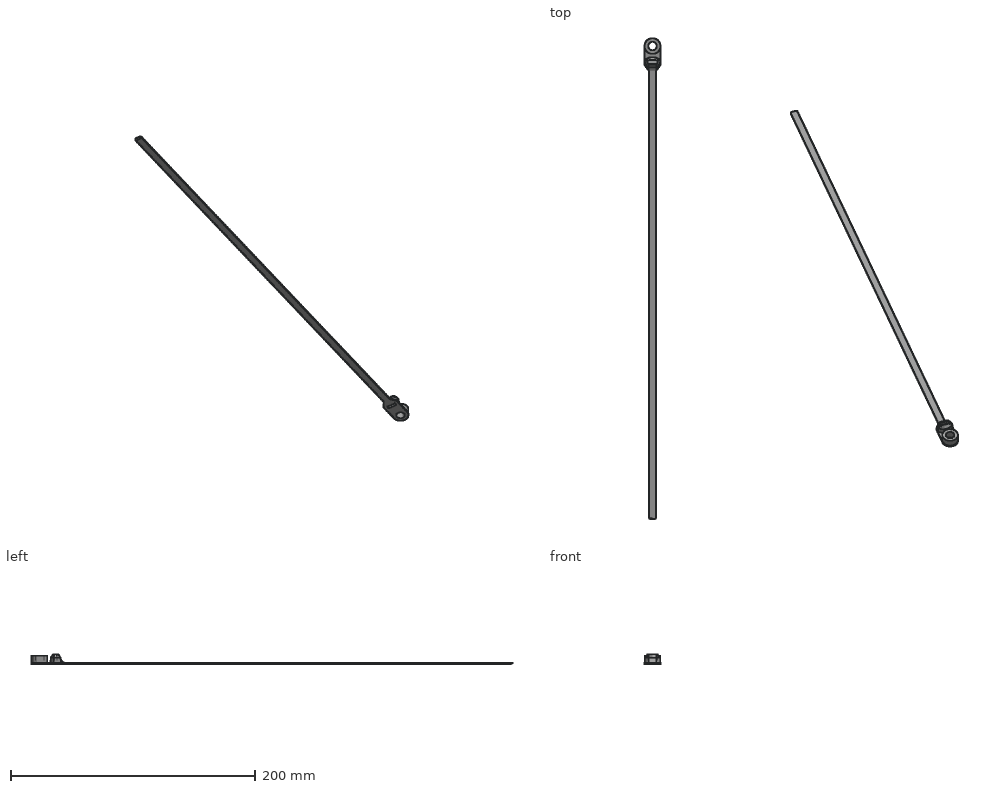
import math

import cadquery as cq

total_length = 394.28
body_width = 13.21
head_height = 8.13

strap_width = 5.9
strap_thickness = 1.2
tip_corner_radius = 1.6
tip_bevel_length = 1.4
tip_bevel_height = 0.8

ring_diameter = 13.0
ring_height = 7.0
ring_hole_diameter = 6.83

back_y = ring_diameter / 2
tip_y = back_y - total_length

slot_y = back_y - 19.6
slot_width = 7.4
slot_length = 2.2

head_foot = {"z": 0, "back": 4.2, "corner": 1.6, "front": -4.8, "corner_x": 6.3}
head_shoulder = {"z": 5.1, "back": 3.9, "corner": 1.3, "front": -4.3, "corner_x": 6.2}
head_top = {"z": head_height, "back": 1.9, "corner": 1.2, "front": -2.4, "corner_x": 4.1}
flank_bulge_ratio = 0.16

neck_shoulder_y = back_y - 22.0
neck_end_y = back_y - 27.0
neck_fillet_radius = 3.7


def make_base():
    """Flat web under the ring and head: round at the back, narrowing into the strap."""
    half_width = body_width / 2
    half_neck = strap_width / 2
    return (
        cq.Workplane("XY")
        .moveTo(-half_width, 0)
        .threePointArc((0, back_y), (half_width, 0))
        .lineTo(half_width, neck_shoulder_y)
        .lineTo(half_neck, neck_end_y)
        .lineTo(-half_neck, neck_end_y)
        .lineTo(-half_width, neck_shoulder_y)
        .close()
        .extrude(strap_thickness)
    )


def make_ring():
    return cq.Workplane("XY").circle(ring_diameter / 2).extrude(ring_height)


def make_strap():
    """Long strap with rounded tip corners and a bevel under the tip."""
    strap_length = slot_y - tip_y
    strap = (
        cq.Workplane("XY", origin=(0, tip_y + strap_length / 2, 0))
        .rect(strap_width, strap_length)
        .extrude(strap_thickness)
        .edges("|Z and <Y").fillet(tip_corner_radius)
    )
    bevel = (
        cq.Workplane("YZ")
        .polyline([(tip_y, 0), (tip_y + tip_bevel_length, 0), (tip_y, tip_bevel_height)])
        .close()
        .extrude(strap_width, both=True)
    )
    return strap.cut(bevel)


def head_wire(section):
    """Closed section of the head: arched back, rounded flanks and a flat front."""
    corner_x = section["corner_x"]
    corner_y = section["corner"]
    front_x = strap_width / 2
    front_y = section["front"]

    flank_x = (corner_x + front_x) / 2 + flank_bulge_ratio * (corner_y - front_y)
    flank_y = (corner_y + front_y) / 2 - flank_bulge_ratio * (corner_x - front_x)

    outline = (
        cq.Workplane("XY", origin=(0, slot_y, section["z"]))
        .moveTo(-corner_x, corner_y)
        .threePointArc((0, section["back"]), (corner_x, corner_y))
        .threePointArc((flank_x, flank_y), (front_x, front_y))
        .lineTo(-front_x, front_y)
        .threePointArc((-flank_x, flank_y), (-corner_x, corner_y))
    )
    return outline.wire().val()


def make_head():
    """Drafted block topped by a more steeply tapered cap."""
    sections = [head_wire(section) for section in (head_foot, head_shoulder, head_top)]
    return cq.Workplane(cq.Solid.makeLoft(sections, True))


def make_neck_fillet():
    """Concave fillet, tangent to the top of the strap and to the drafted front of the head."""
    front_inset = head_shoulder["front"] - head_foot["front"]
    draft = math.atan2(front_inset, head_shoulder["z"] - head_foot["z"])
    foot_y = slot_y + head_foot["front"]
    centre_z = strap_thickness + neck_fillet_radius
    centre_y = foot_y + centre_z * math.tan(draft) - neck_fillet_radius / math.cos(draft)

    def arc_point(angle):
        """Point on the fillet, with the angle measured from straight down."""
        y = centre_y + neck_fillet_radius * math.sin(angle)
        z = centre_z - neck_fillet_radius * math.cos(angle)
        return (y, z)

    head_angle = math.pi / 2 - draft
    return (
        cq.Workplane("YZ")
        .moveTo(foot_y, 0)
        .lineTo(centre_y, 0)
        .lineTo(*arc_point(0))
        .threePointArc(arc_point(head_angle / 2), arc_point(head_angle))
        .close()
        .extrude(strap_width / 2, both=True)
    )


def make_openings():
    ring_hole = cq.Workplane("XY").circle(ring_hole_diameter / 2).extrude(head_height)
    slot = cq.Workplane("XY").center(0, slot_y).rect(slot_width, slot_length).extrude(head_height)
    return ring_hole.union(slot)


result = (
    make_base()
    .union(make_ring())
    .union(make_strap())
    .union(make_head())
    .union(make_neck_fillet())
    .cut(make_openings())
)